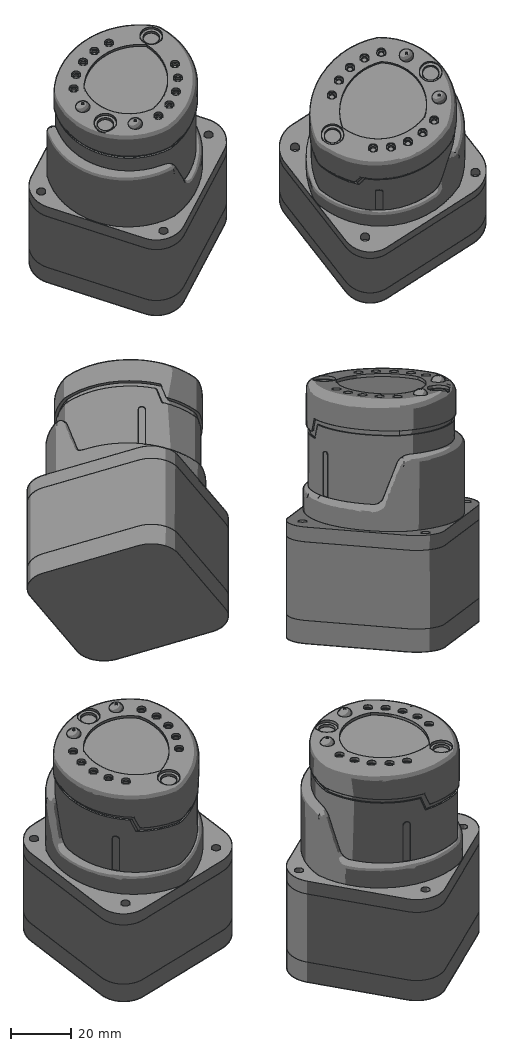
import cadquery as cq
import math

BASE_SIDE = 55.0
BASE_CORNER_RADIUS = 10.0
BOTTOM_PLATE_TOP = 8.0
BASE_BODY_TOP = 35.0
FLANGE_TOP = 40.0
MOUNT_HOLE_DIAMETER = 3.0
MOUNT_HOLE_BACK = (20.2, 21.5)
MOUNT_HOLE_FRONT = (22.0, -22.2)

SIDE_CENTRE_X = 5.15
SIDE_CENTRE_Y = -1.7
FRONT_CENTRE_Y = 1.3
CAP_SIDE_RADIUS = 28.7
CAP_FRONT_RADIUS = 25.6
CAP_NOSE_RADIUS = 6.0

CAP_TOP = 84.1
CAP_BOTTOM = 74.0
CAP_REAR_BOTTOM = 69.1
CAP_EDGE_RADIUS = 3.0
GROOVE_HEIGHT = 1.8
REAR_GROOVE_HEIGHT = 2.1
STEP_TOP_Y = 19.2
STEP_BOTTOM_Y = 20.6
STEP_GROOVE_WIDTH = 1.3
CORE_INSET = 0.5
NECK_INSET = 1.1

SLOT_WIDTH = 2.5
SLOT_Y = 14.3
SLOT_TOP = 64.0
SLOT_DEPTH = 0.3

COLLAR_OUTSET = 2.0
COLLAR_SHIFT_Y = -0.95
COLLAR_NOSE_RADIUS = 9.45
COLLAR_CORNER_RADIUS = 2.6
COLLAR_TOP = 65.5
COLLAR_REAR_TOP = 48.45
COLLAR_EDGE_RADIUS = 2.15
RAMP_TOP_Y = -12.9
RAMP_BOTTOM_Y = -6.7
RAMP_BEND_RADIUS = 3.9

DISPLAY_INSET = 10.0
DISPLAY_DEPTH = 1.0
SCREW_HOLE_YS = (20.45, -19.5)
SCREW_HEAD_DIAMETER = 7.5
SCREW_HEAD_DEPTH = 1.0
SCREW_SEAT_DIAMETER = 5.5
SCREW_SEAT_DEPTH = 2.1
LAMP_COUNT = 5
LAMP_ARC_RADIUS = 22.1
LAMP_FIRST_ANGLE = 39.5
LAMP_ANGLE_STEP = 15.5
LAMP_DIAMETER = 3.0
LAMP_DEPTH = 1.0
LAMP_BORE_DIAMETER = 2.0
LAMP_BORE_DEPTH = 2.1
DOME_X = 9.45
DOME_Y = -16.3
DOME_TOP = 85.9
DOME_RADIUS = 2.5
DOME_HOLE_DIAMETER = 0.8
DOME_HOLE_DEPTH = 1.0

HALF_SPAN = 34.4
MIRROR_SIDES = (-1, 1)


def square_plate(bottom, top):
    """Rounded square slab between two heights."""
    return (
        cq.Workplane("XY", origin=(0, 0, bottom))
        .rect(BASE_SIDE, BASE_SIDE)
        .extrude(top - bottom)
        .edges("|Z")
        .fillet(BASE_CORNER_RADIUS)
    )


def egg_prism(offset, bottom, top, nose_radius=0.0):
    """Egg-shaped prism whose wall lies `offset` outside the cap wall."""
    side_radius = CAP_SIDE_RADIUS + offset
    front_radius = CAP_FRONT_RADIUS + offset
    nose_y = SIDE_CENTRE_Y + math.sqrt(side_radius**2 - SIDE_CENTRE_X**2)

    centre_gap = math.hypot(SIDE_CENTRE_X, FRONT_CENTRE_Y - SIDE_CENTRE_Y)
    along = (side_radius**2 - front_radius**2 + centre_gap**2) / (2 * centre_gap)
    across = math.sqrt(side_radius**2 - along**2)
    ux = SIDE_CENTRE_X / centre_gap
    uy = (FRONT_CENTRE_Y - SIDE_CENTRE_Y) / centre_gap
    corner_x = -SIDE_CENTRE_X + along * ux + across * uy
    corner_y = SIDE_CENTRE_Y + along * uy - across * ux

    widest_x = side_radius - SIDE_CENTRE_X
    prism = (
        cq.Workplane("XY", origin=(0, 0, bottom))
        .moveTo(0, nose_y)
        .threePointArc((widest_x, SIDE_CENTRE_Y), (corner_x, corner_y))
        .threePointArc((0, FRONT_CENTRE_Y - front_radius), (-corner_x, corner_y))
        .threePointArc((-widest_x, SIDE_CENTRE_Y), (0, nose_y))
        .close()
        .extrude(top - bottom)
    )
    if nose_radius > 0:
        prism = prism.edges("|Z and >Y").fillet(nose_radius)
    return prism


def block_below(front_z, rear_z, top_y, bottom_y):
    """Block below a stepped profile that drops from front_z to rear_z on the way to +Y."""
    return (
        cq.Workplane("YZ", origin=(-HALF_SPAN, 0, 0))
        .polyline(
            [
                (-HALF_SPAN, 0),
                (-HALF_SPAN, front_z),
                (top_y, front_z),
                (bottom_y, rear_z),
                (HALF_SPAN, rear_z),
                (HALF_SPAN, 0),
            ]
        )
        .close()
        .extrude(2 * HALF_SPAN)
    )


def blind_hole(x, y, top, diameter, depth):
    """Cylinder to cut away, reaching down from a top height."""
    return cq.Workplane("XY", origin=(x, y, top - depth)).circle(diameter / 2).extrude(depth)


def make_flange():
    """Top slab of the base with a mounting hole near each corner."""
    holes = [
        (side * x, y)
        for x, y in (MOUNT_HOLE_BACK, MOUNT_HOLE_FRONT)
        for side in MIRROR_SIDES
    ]
    return (
        square_plate(BASE_BODY_TOP, FLANGE_TOP)
        .faces(">Z")
        .workplane(origin=(0, 0, FLANGE_TOP))
        .pushPoints(holes)
        .hole(MOUNT_HOLE_DIAMETER)
    )


def cap_lower_space():
    """Everything below the cap's stepped lower edge."""
    return block_below(CAP_BOTTOM, CAP_REAR_BOTTOM, STEP_TOP_Y, STEP_BOTTOM_Y)


def core_outline_prism():
    """Full-height prism of the core's outer wall."""
    return egg_prism(-CORE_INSET, FLANGE_TOP, CAP_TOP, CAP_NOSE_RADIUS - CORE_INSET)


def make_core():
    """Core on the flange, with a narrower neck that carries the cap."""
    core_space = block_below(
        CAP_BOTTOM - GROOVE_HEIGHT,
        CAP_REAR_BOTTOM - REAR_GROOVE_HEIGHT,
        STEP_TOP_Y - STEP_GROOVE_WIDTH,
        STEP_BOTTOM_Y - STEP_GROOVE_WIDTH,
    )
    neck = egg_prism(-NECK_INSET, FLANGE_TOP, CAP_TOP, CAP_NOSE_RADIUS - NECK_INSET)
    core = core_outline_prism().intersect(core_space).union(neck.intersect(cap_lower_space()))
    return core.cut(core_slots())


def core_slots():
    """Upright round-topped slots, one square to each side wall, down to the collar."""
    wall_radius = CAP_SIDE_RADIUS - CORE_INSET
    slot_angle = math.degrees(math.asin((SLOT_Y - SIDE_CENTRE_Y) / wall_radius))
    half_width = SLOT_WIDTH / 2
    right_slot = (
        cq.Workplane("YZ", origin=(wall_radius - SLOT_DEPTH, 0, 0))
        .moveTo(-half_width, COLLAR_REAR_TOP)
        .lineTo(-half_width, SLOT_TOP - half_width)
        .threePointArc((0, SLOT_TOP), (half_width, SLOT_TOP - half_width))
        .lineTo(half_width, COLLAR_REAR_TOP)
        .close()
        .extrude(2 * SLOT_DEPTH)
        .rotate((0, 0, 0), (0, 0, 1), slot_angle)
        .translate((-SIDE_CENTRE_X, SIDE_CENTRE_Y, 0))
    )
    return right_slot.union(right_slot.mirror("YZ"))


def make_collar():
    """Collar that is high in front and drops along a bent ramp to a low rim at the back."""
    ramp_space = block_below(COLLAR_TOP, COLLAR_REAR_TOP, RAMP_TOP_Y, RAMP_BOTTOM_Y)
    for ramp_y, ramp_z in ((RAMP_TOP_Y, COLLAR_TOP), (RAMP_BOTTOM_Y, COLLAR_REAR_TOP)):
        ramp_space = ramp_space.edges(
            cq.selectors.NearestToPointSelector((0, ramp_y, ramp_z))
        ).fillet(RAMP_BEND_RADIUS)
    collar = (
        egg_prism(COLLAR_OUTSET, FLANGE_TOP, CAP_TOP, COLLAR_NOSE_RADIUS)
        .edges("|Z and (>X or <X)")
        .fillet(COLLAR_CORNER_RADIUS)
        .translate((0, COLLAR_SHIFT_Y, 0))
        .intersect(ramp_space)
    )
    upper_part = cq.selectors.BoxSelector(
        (-HALF_SPAN, -HALF_SPAN, FLANGE_TOP + COLLAR_EDGE_RADIUS),
        (HALF_SPAN, HALF_SPAN, CAP_TOP),
    )
    rim = collar.edges(upper_part).edges("not (|X or |Z)")
    collar = rim.fillet(COLLAR_EDGE_RADIUS)
    return collar.cut(core_outline_prism())


def lamp_holes():
    """Centres of the lamp holes, spread along an arc on each side of the display."""
    centres = []
    for index in range(LAMP_COUNT):
        angle = math.radians(LAMP_FIRST_ANGLE - index * LAMP_ANGLE_STEP)
        x = LAMP_ARC_RADIUS * math.cos(angle) - SIDE_CENTRE_X
        y = SIDE_CENTRE_Y + LAMP_ARC_RADIUS * math.sin(angle)
        centres += [(side * x, y) for side in MIRROR_SIDES]
    return centres


def add_dome(cap, x):
    """Raised round button with a small hole in its crown."""
    dome = cq.Workplane("XY", origin=(x, DOME_Y, DOME_TOP - DOME_RADIUS)).sphere(DOME_RADIUS)
    return cap.union(dome).cut(blind_hole(x, DOME_Y, DOME_TOP, DOME_HOLE_DIAMETER, DOME_HOLE_DEPTH))


def make_cap():
    """Round-edged cap with a display recess, screw holes, lamp holes and two domes."""
    cap = egg_prism(0, FLANGE_TOP, CAP_TOP, CAP_NOSE_RADIUS)
    cap = cap.faces(">Z").edges().fillet(CAP_EDGE_RADIUS).cut(cap_lower_space())
    cap = cap.cut(egg_prism(-DISPLAY_INSET, CAP_TOP - DISPLAY_DEPTH, CAP_TOP))
    for y in SCREW_HOLE_YS:
        cap = cap.cut(blind_hole(0, y, CAP_TOP, SCREW_HEAD_DIAMETER, SCREW_HEAD_DEPTH))
        cap = cap.cut(blind_hole(0, y, CAP_TOP, SCREW_SEAT_DIAMETER, SCREW_SEAT_DEPTH))
    for x, y in lamp_holes():
        cap = cap.cut(blind_hole(x, y, CAP_TOP, LAMP_DIAMETER, LAMP_DEPTH))
        cap = cap.cut(blind_hole(x, y, CAP_TOP, LAMP_BORE_DIAMETER, LAMP_BORE_DEPTH))
    for side in MIRROR_SIDES:
        cap = add_dome(cap, side * DOME_X)
    return cap


bottom_plate = square_plate(0, BOTTOM_PLATE_TOP)
base_body = square_plate(BOTTOM_PLATE_TOP, BASE_BODY_TOP)
flange = make_flange()
collar = make_collar()
core = make_core()
cap = make_cap()

result = cq.Compound.makeCompound(
    [bottom_plate.val(), base_body.val(), flange.val(), collar.val(), core.val(), cap.val()]
)